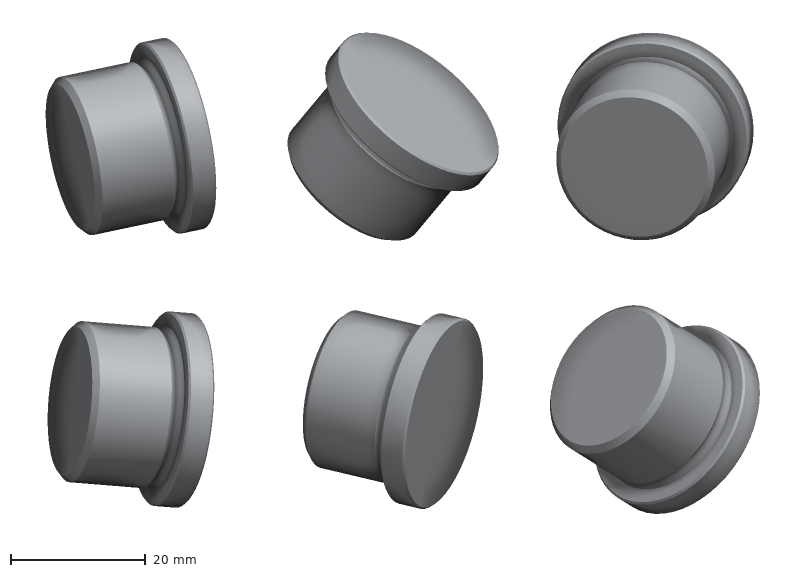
import cadquery as cq

head_diameter = 29.0
head_thickness = 4.0
head_chamfer = 0.3
shank_diameter = 24.0
total_length = 18.0
shank_chamfer = 0.9
groove_flare = 1.02

head_radius = head_diameter / 2
shank_radius = shank_diameter / 2
groove_radius = shank_radius - shank_chamfer
shank_length = total_length - head_thickness
groove_y = shank_length - groove_flare

half_section = [
    (0, 0),
    (shank_radius - shank_chamfer, 0),
    (shank_radius, shank_chamfer),
    (shank_radius, groove_y - shank_chamfer),
    (groove_radius, groove_y),
    (groove_radius + groove_flare, shank_length),
    (head_radius - head_chamfer, shank_length),
    (head_radius, shank_length + head_chamfer),
    (head_radius, total_length - head_chamfer),
    (head_radius - head_chamfer, total_length),
    (0, total_length),
]

result = cq.Workplane("XY").polyline(half_section).close().revolve(360, (0, 0, 0), (0, 1, 0))